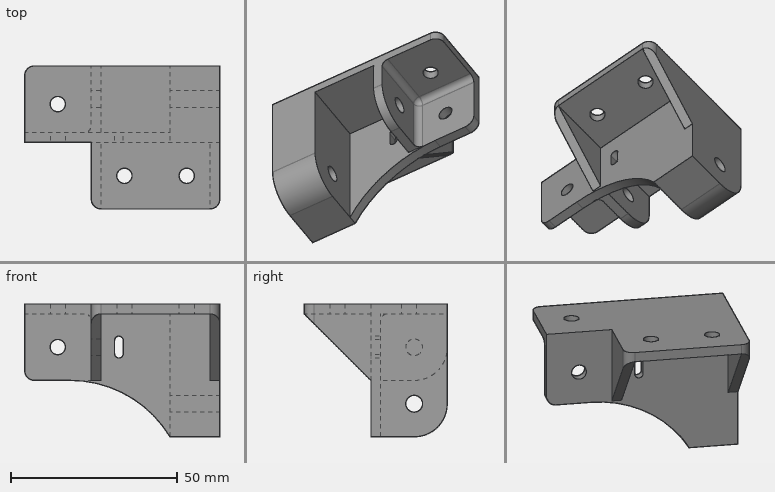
import cadquery as cq
import math

length = 58.7
depth = 43.0
height = 40.0

wall = 3.0
shelf = 20.0
back = depth - shelf
drop = back
notch = 20.0
corner_radius = wall
inner_radius = 2.0
lug_radius = 10.0
edge_distance = 10.0

bolt_diameter = 4.5
lug_hole_diameter = 5.0
slot_width = 2.5
slot_height = 6.5
slot_x = 28.35
upright_hole_z = -(wall + edge_distance)

foot = 15.0
arch_radius = 35.0


def box(x0, x1, y0, y1, z0, z1):
    """Box between opposite corner coordinates."""
    return cq.Workplane("XY").box(x1 - x0, y1 - y0, z1 - z0, centered=False).translate((x0, y0, z0))


def upright_plate():
    """Vertical plate with a rounded left corner and an arch rising from the foot."""
    foot_x = length - foot
    arch_rise = height - drop
    end_angle = math.acos(1 - arch_rise / arch_radius)
    arch_start = foot_x - arch_radius * math.sin(end_angle)
    arch_mid = (
        arch_start + arch_radius * math.sin(end_angle / 2),
        -drop - arch_radius * (1 - math.cos(end_angle / 2)),
    )
    plate = (
        cq.Workplane("XZ")
        .lineTo(length, 0)
        .lineTo(length, -height)
        .lineTo(foot_x, -height)
        .threePointArc(arch_mid, (arch_start, -drop))
        .lineTo(0, -drop)
        .close()
        .extrude(-wall)
    )
    lower_left = cq.selectors.NearestToPointSelector((0, wall / 2, -drop))
    return plate.edges(lower_left).fillet(corner_radius)


def deck_outline(thickness):
    """L-shaped deck outline with three rounded corners, extruded downwards."""
    outline = (
        cq.Workplane("XY")
        .moveTo(0, 0)
        .lineTo(notch, 0)
        .lineTo(notch, -shelf)
        .lineTo(length, -shelf)
        .lineTo(length, back)
        .lineTo(0, back)
        .close()
        .extrude(-thickness)
    )
    for x, y in [(notch, -shelf), (length, -shelf), (0, back)]:
        corner = cq.selectors.NearestToPointSelector((x, y, -thickness / 2))
        outline = outline.edges(corner).fillet(corner_radius)
    return outline


def lug(x, thickness, lug_height):
    """Rear lug across the bracket, with a hole concentric with its rounded corner."""
    body = box(x, x + thickness, 0, back, -lug_height, 0)
    body = body.edges(">Y and <Z").fillet(lug_radius)
    hole = (
        cq.Workplane("YZ", origin=(x, 0, 0))
        .center(back - lug_radius, lug_radius - lug_height)
        .circle(lug_hole_diameter / 2)
        .extrude(thickness)
    )
    return body.cut(hole)


def left_bay_fillets():
    """Fillet material where the deck, the upright plate and the inner lug meet."""
    bay = box(0, notch, wall, back, -drop, -wall)
    cavity = bay.edges("(>Z and <Y) or (>Z and >X) or (<Y and >X)").fillet(inner_radius)
    return bay.cut(cavity)


def gusset(x):
    """45 degree brace under the shelf, in front of the upright plate."""
    return (
        cq.Workplane("YZ", origin=(x, 0, 0))
        .lineTo(-shelf, 0)
        .lineTo(-shelf, shelf - drop)
        .lineTo(0, -drop)
        .close()
        .extrude(wall)
    )


def deck_holes():
    """One hole on the left part and two on the shelf."""
    shelf_hole_y = edge_distance - shelf
    centres = [
        (edge_distance, back / 2),
        (notch + edge_distance, shelf_hole_y),
        (length - edge_distance, shelf_hole_y),
    ]
    return cq.Workplane("XY").pushPoints(centres).circle(bolt_diameter / 2).extrude(-wall)


def upright_openings():
    """Bolt hole and vertical slot through the upright plate."""
    hole = (
        cq.Workplane("XZ")
        .center(edge_distance, upright_hole_z)
        .circle(bolt_diameter / 2)
        .extrude(-wall)
    )
    slot = (
        cq.Workplane("XZ")
        .center(slot_x, upright_hole_z)
        .slot2D(slot_height, slot_width, 90)
        .extrude(-wall)
    )
    return hole.union(slot)


gussets = gusset(notch).union(gusset(length - wall)).intersect(deck_outline(height))

result = (
    upright_plate()
    .union(deck_outline(wall))
    .union(gussets)
    .union(lug(notch, wall, drop))
    .union(lug(length - foot, foot, height))
    .union(left_bay_fillets())
    .cut(deck_holes())
    .cut(upright_openings())
)